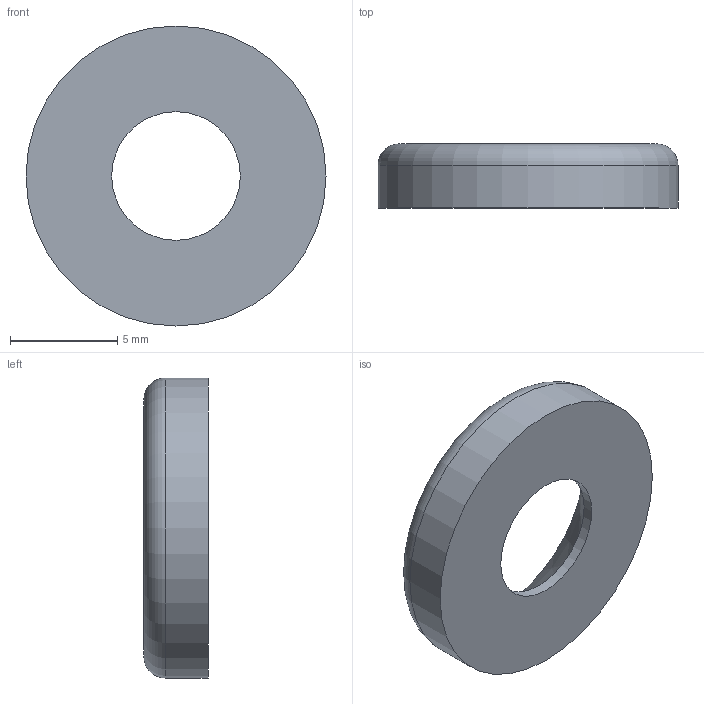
import cadquery as cq

outer_diameter = 14.0
thickness = 3.0
bore_diameter = 6.0
bore_length = 0.5
edge_radius = 1.0
countersink_angle = 90.0
countersink_depth = thickness - bore_length


def washer_blank():
    """Disc from Y = 0 to Y = thickness with its +Y rim rounded."""
    disc = cq.Workplane("XZ").circle(outer_diameter / 2).extrude(-thickness)
    return disc.faces(">Y").edges().fillet(edge_radius)


def bore():
    """Straight hole through the full thickness."""
    return cq.Workplane("XZ").circle(bore_diameter / 2).extrude(-thickness)


def countersink():
    """Cone that widens from the end of the straight bore to the +Y face."""
    narrow_end = cq.Workplane("XZ", origin=(0, bore_length, 0)).circle(bore_diameter / 2)
    return narrow_end.extrude(-countersink_depth, taper=-countersink_angle / 2)


result = washer_blank().cut(bore()).cut(countersink())